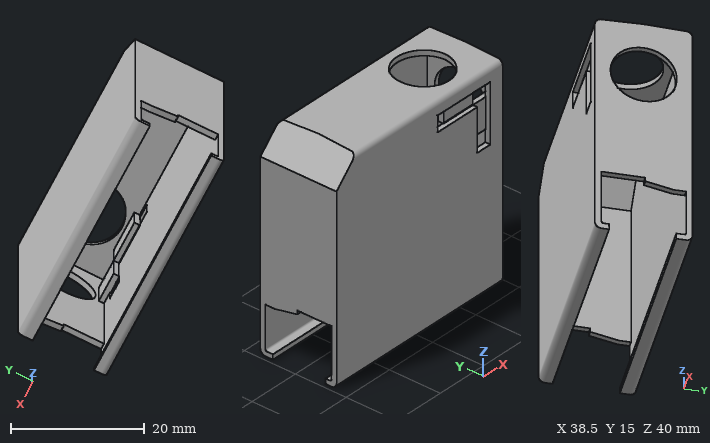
import cadquery as cq

length = 38.5
width = 15.0
height = 40
wall = 1.0
half_width = width / 2
inner_half = half_width - wall
crown_drop = 0.25
edge_radius = 1.0
nose_chamfer = 4.8

lip_gap_front = -5.3
lip_gap_back = 5.0
lip_radius = 0.35
opening_height = 10.8
step_y = 0.25
step_z = 10.1
slope_end_y = 4.6
slope_end_z = 9.25

hole_diameter = 10.15
top_hole_x = 28.8
end_hole_z = 30.4

slot_left = 23.4
slot_right = 35.6
slot_top = 37.3
slot_bottom = 26.1
slot_band = 3.0
slot_end_gap = 2.4
bridge_recess = 0.9
bridge_depth = 1.0


def box_between(x0, x1, y0, y1, z0, z1):
    """Box given by its limits along X, Y and Z."""
    return cq.Workplane("XY").box(x1 - x0, y1 - y0, z1 - z0, centered=False).translate((x0, y0, z0))


def roofed_block(start, end, half, floor, ridge, drop):
    """Block along X whose roof falls away on both sides of a central ridge."""
    outline = [(-half, floor), (half, floor), (half, ridge - drop), (0, ridge), (-half, ridge - drop)]
    return cq.Workplane("YZ", origin=(start, 0, 0)).polyline(outline).close().extrude(end - start)


def shell():
    """Hollow body with a chamfered nose, still closed at both ends and below."""
    outer = roofed_block(0, length, half_width, 0, height, crown_drop)
    for side in (-half_width, half_width):
        for level in (0, height - crown_drop):
            edge = cq.selectors.NearestToPointSelector((length / 2, side, level))
            outer = outer.edges("|X").edges(edge).fillet(edge_radius)
    nose_outline = [(0, height - nose_chamfer), (nose_chamfer, height), (0, height)]
    nose = cq.Workplane("XZ").polyline(nose_outline).close().extrude(half_width, both=True)

    cavity_floor = wall + lip_radius
    cavity = roofed_block(wall, length - wall, inner_half, cavity_floor, height - wall, crown_drop)
    inner_nose = nose.translate((wall, 0, -wall))
    return outer.cut(nose).cut(cavity.cut(inner_nose))


def end_opening():
    """Stepped opening through both end walls, continuing between the bottom lips."""
    passage = (
        cq.Workplane("YZ")
        .moveTo(-inner_half, wall)
        .lineTo(inner_half, wall)
        .lineTo(inner_half, slope_end_z)
        .lineTo(slope_end_y, slope_end_z)
        .lineTo(step_y, step_z)
        .lineTo(step_y, opening_height)
        .lineTo(-inner_half, opening_height)
        .close()
        .extrude(length)
    )
    for side in (-inner_half, inner_half):
        corner = cq.selectors.NearestToPointSelector((length / 2, side, wall))
        passage = passage.edges("|X").edges(corner).fillet(lip_radius)
    gap = box_between(0, length, lip_gap_front, lip_gap_back, 0, wall)
    return passage.union(gap)


def round_openings():
    """One hole through the roof and one through the +X end wall."""
    radius = hole_diameter / 2
    top_hole = cq.Workplane("XY", origin=(top_hole_x, 0, height / 2)).circle(radius).extrude(height / 2)
    end_hole = cq.Workplane("YZ", origin=(length - wall, 0, end_hole_z)).circle(radius).extrude(wall)
    return top_hole.union(end_hole)


def corner_slot():
    """L-shaped slot through the -Y wall."""
    across = box_between(slot_left, slot_right, -half_width, -inner_half, slot_top - slot_band, slot_top)
    down = box_between(slot_right - slot_band, slot_right, -half_width, -inner_half, slot_bottom, slot_top)
    return across.union(down)


def bridges():
    """Blocks behind the slot legs, one joined to the roof and one to the +X wall."""
    outer_face = -half_width + bridge_recess
    inner_face = outer_face + bridge_depth
    roof_z = height - wall - crown_drop / 2
    upper = box_between(
        slot_left + slot_end_gap, slot_right - slot_band,
        outer_face, inner_face,
        slot_top - slot_band, roof_z,
    )
    side = box_between(
        slot_right - slot_band, length - wall,
        outer_face, inner_face,
        slot_bottom + slot_end_gap, slot_top - slot_band,
    )
    return upper.union(side)


result = shell().cut(end_opening()).cut(round_openings()).cut(corner_slot()).union(bridges())